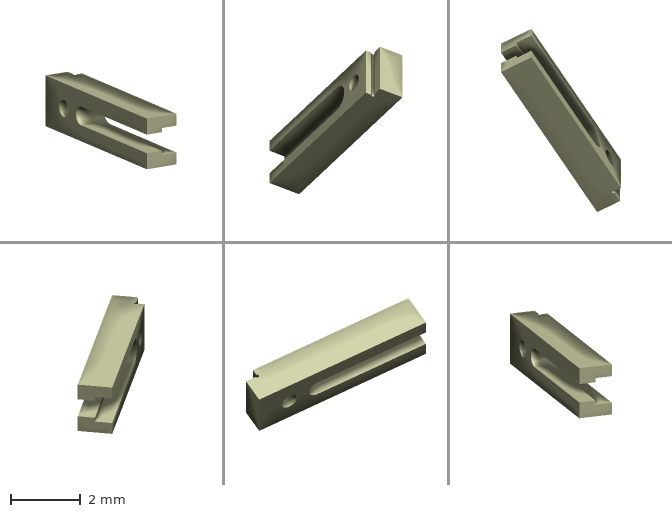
import cadquery as cq
import math

length = 5.5
depth = 1.0
height = 1.5
mid_height = height / 2

hole_diameter = 0.5
hole_x = 1.0

slot_width = 0.55
rear_slot_width = 0.8
slot_start_x = 1.65
slot_center_x = slot_start_x + slot_width / 2
rear_slot_y = depth / 2

step_length = 0.375
step_depth = 0.25
step_floor_y = depth - step_depth

relief_radius = 0.05
relief_flank_reach = relief_radius * math.sqrt(2)
relief_tangent_offset = relief_radius / math.sqrt(2)


def make_block():
    return cq.Workplane("XY").box(length, depth, height, centered=False)


def make_cylinder_along_y(center_x, radius, front_y):
    """Cylinder at mid height from front_y to the rear face."""
    return (
        cq.Workplane("XZ", origin=(center_x, front_y, mid_height))
        .circle(radius)
        .extrude(front_y - depth)
    )


def make_slot(width, front_y):
    """Round-ended slot from front_y to the rear face."""
    straight = cq.Workplane("XY").box(
        length - slot_center_x, depth - front_y, width, centered=False
    ).translate((slot_center_x, front_y, mid_height - width / 2))
    return straight.union(make_cylinder_along_y(slot_center_x, width / 2, front_y))


def make_step():
    """Corner notch whose outline includes the diagonal relief groove."""
    return (
        cq.Workplane("XY")
        .moveTo(0, depth)
        .lineTo(step_length, depth)
        .lineTo(step_length, step_floor_y + relief_flank_reach)
        .lineTo(step_length + relief_tangent_offset, step_floor_y + relief_tangent_offset)
        .threePointArc(
            (step_length + relief_tangent_offset, step_floor_y - relief_tangent_offset),
            (step_length - relief_tangent_offset, step_floor_y - relief_tangent_offset),
        )
        .lineTo(step_length - relief_flank_reach, step_floor_y)
        .lineTo(0, step_floor_y)
        .close()
        .extrude(height)
    )


result = (
    make_block()
    .cut(make_cylinder_along_y(hole_x, hole_diameter / 2, 0))
    .cut(make_slot(slot_width, 0))
    .cut(make_slot(rear_slot_width, rear_slot_y))
    .cut(make_step())
)